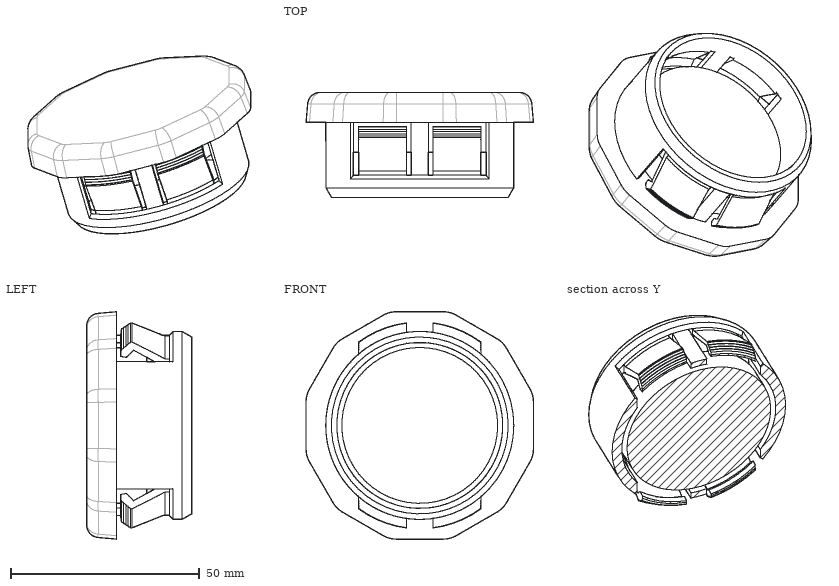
import cadquery as cq
import math


FLANGE_SIDES = 12
FLANGE_ACROSS_FLATS = 60.51
FLANGE_THICKNESS = 8.0
FLANGE_DRAFT = 5.0
FLANGE_CORNER_RADIUS = 7.0
FLANGE_EDGE_RADIUS = 3.4

BOSS_RADIUS = 41.43 / 2
BOSS_LENGTH = 8.0

SLEEVE_LENGTH = 20.0
SLEEVE_RADIUS = 50.0 / 2
BORE_RADIUS = 44.1 / 2
LEAD_IN_LENGTH = 2.6
LEAD_IN_DEPTH = 1.5

RECESS_RADIUS = 24.0
RECESS_LENGTH = 14.0
RECESS_ANGLE = 94.6

WINDOW_INNER_X = 2.3
WINDOW_OUTER_X = RECESS_RADIUS * math.sin(math.radians(RECESS_ANGLE / 2))

SNAP_INNER_X = 3.5
SNAP_OUTER_X = 16.25
SNAP_TIP_BOTTOM = (24.5, -1.06)
SNAP_TIP_TOP = (25.9, -1.24)
SNAP_PEAK_START = (27.5, -3.66)
SNAP_PEAK_END = (27.5, -4.02)
SNAP_OUTER_BEND = (RECESS_RADIUS, -12.9)
SNAP_INNER_BEND = (BORE_RADIUS, -13.4)
SNAP_HOOK_INNER = (25.77, -4.5)
SNAP_TIP_INNER = (24.3, -2.6)
TOOTH_COUNT = 4
TOOTH_STEP = 0.12

OVERLAP = 1.0


def revolve_about_y(points, angle=360):
    """Revolve an outline of (radius, Y) points about the Y axis."""
    return cq.Workplane("XY").polyline(points).close().revolve(angle, (0, 0, 0), (0, 1, 0))


def make_flange():
    """Twelve-sided drafted flange with rounded corners and a rounded outer edge."""
    flange = (
        cq.Workplane("XY")
        .polygon(FLANGE_SIDES, FLANGE_ACROSS_FLATS, circumscribed=True)
        .extrude(FLANGE_THICKNESS, taper=FLANGE_DRAFT)
    )
    flange = flange.edges("not #Z").fillet(FLANGE_CORNER_RADIUS)
    flange = flange.faces(">Z").edges().fillet(FLANGE_EDGE_RADIUS)
    return flange.rotate((0, 0, 0), (1, 0, 0), -90)


def make_boss():
    """Solid round boss standing on the flange seat."""
    return revolve_about_y([
        (0, OVERLAP),
        (BOSS_RADIUS, OVERLAP),
        (BOSS_RADIUS, -BOSS_LENGTH),
        (0, -BOSS_LENGTH),
    ])


def make_sleeve():
    """Thin sleeve with a conical lead-in at its free end."""
    return revolve_about_y([
        (BORE_RADIUS, 0),
        (SLEEVE_RADIUS, 0),
        (SLEEVE_RADIUS, LEAD_IN_LENGTH - SLEEVE_LENGTH),
        (SLEEVE_RADIUS - LEAD_IN_DEPTH, -SLEEVE_LENGTH),
        (BORE_RADIUS, -SLEEVE_LENGTH),
    ])


def make_recess_cutter():
    """Sector that thins the sleeve wall around +Z, ending in a 45 degree slope."""
    slope_reach = SLEEVE_RADIUS - RECESS_RADIUS + OVERLAP
    sector = revolve_about_y([
        (RECESS_RADIUS, 0),
        (RECESS_RADIUS, -RECESS_LENGTH),
        (RECESS_RADIUS + slope_reach, -RECESS_LENGTH - slope_reach),
        (RECESS_RADIUS + slope_reach, 0),
    ], RECESS_ANGLE)
    return sector.rotate((0, 0, 0), (0, 1, 0), -90 - RECESS_ANGLE / 2)


def make_snap_ring():
    """Full ring with the hooked cross-section of the snap arms."""
    tip_radius, tip_y = SNAP_TIP_TOP
    peak_radius, peak_y = SNAP_PEAK_START
    root_y = -RECESS_LENGTH - OVERLAP
    outline = [SNAP_TIP_BOTTOM, SNAP_TIP_TOP]
    for tooth in range(1, TOOTH_COUNT + 1):
        share = tooth / TOOTH_COUNT
        radius = tip_radius + share * (peak_radius - tip_radius)
        y = tip_y + share * (peak_y - tip_y)
        outline += [(radius - TOOTH_STEP, y), (radius, y)]
    outline += [
        SNAP_PEAK_END,
        SNAP_OUTER_BEND,
        (RECESS_RADIUS, root_y),
        (BORE_RADIUS, root_y),
        SNAP_INNER_BEND,
        SNAP_HOOK_INNER,
        SNAP_TIP_INNER,
    ]
    return revolve_about_y(outline)


def make_side_blocks(inner_x, outer_x, length):
    """Four blocks, one per window: left and right of the web, above and below the axis."""
    reach = FLANGE_ACROSS_FLATS / 2
    block = (
        cq.Workplane("XY")
        .box(outer_x - inner_x, length, reach, centered=False)
        .translate((inner_x, -length, 0))
    )
    pair = block.union(block.mirror("YZ"))
    return pair.union(pair.mirror("XY"))


recess = make_recess_cutter()
windows = make_side_blocks(WINDOW_INNER_X, WINDOW_OUTER_X, RECESS_LENGTH)
sleeve = make_sleeve().cut(recess).cut(recess.mirror("XY")).cut(windows)
snap_arms = make_snap_ring().intersect(make_side_blocks(SNAP_INNER_X, SNAP_OUTER_X, SLEEVE_LENGTH))

result = make_flange().union(make_boss()).union(sleeve).union(snap_arms)